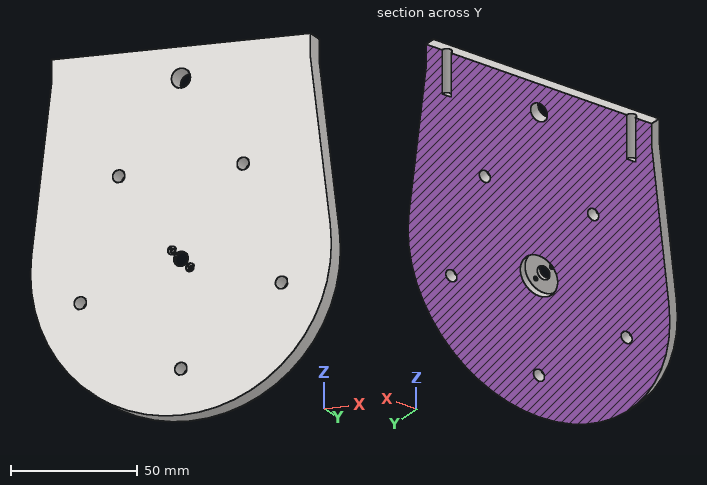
import cadquery as cq
import math

thickness = 10.0
height = 151
round_radius = 64.0
top_z = height - round_radius
top_half_width = 55.1
shoulder_z = top_z - 10.0

bolt_circle_radius = 45.0
bolt_count = 5
bolt_diameter = 5.1
hanging_hole_diameter = 8.0
hanging_hole_z = top_z - 13.0

shaft_diameter = 6
recess_diameter = 18.0
recess_depth = 8.0
screw_offset = 3.85
screw_diameter = 1.8
screw_head_diameter = 3.5
screw_head_depth = 1.0

edge_hole_diameter = 4.2
edge_hole_x = 45.0
edge_hole_depth = 20.0


def cylinder_from_front(x, z, diameter, depth, start=0):
    """Cylinder running toward +Y from Y = start."""
    return cq.Workplane(
        cq.Solid.makeCylinder(diameter / 2, depth, cq.Vector(x, start, z), cq.Vector(0, 1, 0))
    )


def make_plate():
    shoulder_distance = math.hypot(top_half_width, shoulder_z)
    shoulder_angle = math.atan2(shoulder_z, top_half_width)
    tangent_angle = shoulder_angle - math.acos(round_radius / shoulder_distance)
    tangent_x = round_radius * math.cos(tangent_angle)
    tangent_z = round_radius * math.sin(tangent_angle)
    return (
        cq.Workplane("XZ")
        .moveTo(-top_half_width, top_z)
        .lineTo(top_half_width, top_z)
        .lineTo(top_half_width, shoulder_z)
        .lineTo(tangent_x, tangent_z)
        .threePointArc((0, -round_radius), (-tangent_x, tangent_z))
        .lineTo(-top_half_width, shoulder_z)
        .close()
        .extrude(-thickness)
    )


plate = make_plate()

plate = plate.cut(cylinder_from_front(0, hanging_hole_z, hanging_hole_diameter, thickness))

for index in range(bolt_count):
    angle = math.radians(-90 + index * 360 / bolt_count)
    bolt_x = bolt_circle_radius * math.cos(angle)
    bolt_z = bolt_circle_radius * math.sin(angle)
    plate = plate.cut(cylinder_from_front(bolt_x, bolt_z, bolt_diameter, thickness))

plate = plate.cut(cylinder_from_front(0, 0, shaft_diameter, thickness))
plate = plate.cut(
    cylinder_from_front(0, 0, recess_diameter, recess_depth, thickness - recess_depth)
)

for side in (-1, 1):
    screw_x = side * screw_offset
    screw_z = -side * screw_offset
    plate = plate.cut(cylinder_from_front(screw_x, screw_z, screw_diameter, thickness))
    plate = plate.cut(
        cylinder_from_front(screw_x, screw_z, screw_head_diameter, screw_head_depth)
    )

for side in (-1, 1):
    edge_hole = cq.Solid.makeCylinder(
        edge_hole_diameter / 2,
        edge_hole_depth,
        cq.Vector(side * edge_hole_x, thickness / 2, top_z),
        cq.Vector(0, 0, -1),
    )
    plate = plate.cut(cq.Workplane(edge_hole))

result = plate